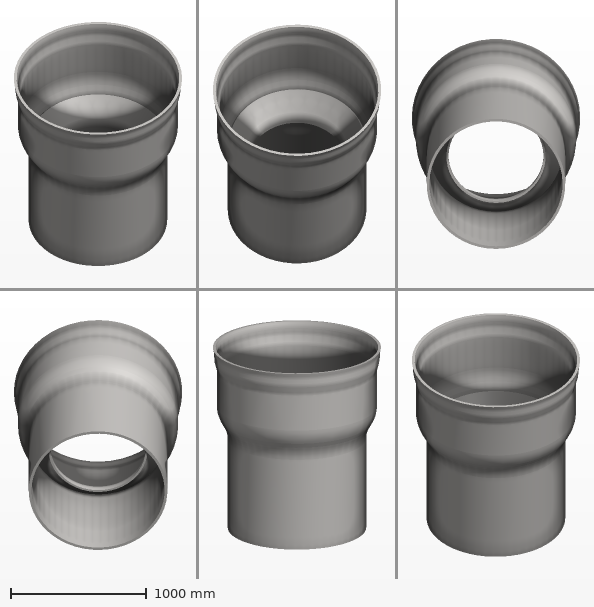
import cadquery as cq
import math

HEIGHT = 1400.0
PIPE_OUTER_RADIUS = 1020.0 / 2
PIPE_INNER_RADIUS = 980.0 / 2
HOUSING_WALL = PIPE_OUTER_RADIUS - PIPE_INNER_RADIUS

NECK_BEND_START = 697.0
NECK_CONE_START = 801.0
NECK_CONE_END = 839.0
SOCKET_START = 952.0
SOCKET_END = 1222.0
FLARE_CONE_START = 1243.0
FLARE_CONE_END = 1292.0
COLLAR_START = 1319.0
COLLAR_END = 1351.0
RIM_CONE_START = 1375.0

NECK_LEAN = math.radians(30)
FLARE_LEAN = math.radians(15)

THROAT_INNER_RADIUS = 699.0 / 2
THROAT_OUTER_RADIUS = 730.0 / 2
LINER_WALL = THROAT_OUTER_RADIUS - THROAT_INNER_RADIUS
LINER_RIM_RADIUS = 507.0
FUNNEL_LEAN = math.radians(45)
FUNNEL_BEND_RADIUS = 73.0
THROAT_LENGTH = 28.0


def advance(station, height, lean):
    """Follow a straight stretch or a tangent arc up to a new height and lean."""
    radius, start_height, start_lean = station
    mean_lean = (start_lean + lean) / 2
    return radius + (height - start_height) * math.tan(mean_lean), height, lean


def bend_middle(start, end):
    """The station halfway round the arc that joins two stations."""
    middle_lean = (start[2] + end[2]) / 2
    bend_radius = (end[1] - start[1]) / (math.sin(end[2]) - math.sin(start[2]))
    middle_height = start[1] + bend_radius * (math.sin(middle_lean) - math.sin(start[2]))
    return advance(start, middle_height, middle_lean)


def wall_point(station, depth):
    """The point at a depth below the outer surface, square to the wall."""
    radius, height, lean = station
    return radius - depth * math.cos(lean), height + depth * math.sin(lean)


def follow(profile, stations, depth):
    """Draw lines and arcs along the stations at one depth in the wall."""
    for start, end in zip(stations, stations[1:]):
        if start[2] == end[2]:
            profile = profile.lineTo(*wall_point(end, depth))
        else:
            middle = bend_middle(start, end)
            profile = profile.threePointArc(wall_point(middle, depth), wall_point(end, depth))
    return profile


def revolve_wall(stations, thickness):
    """A round shell of constant thickness whose ends are square to its wall."""
    profile = follow(cq.Workplane("XZ").moveTo(*wall_point(stations[0], 0)), stations, 0)
    profile = profile.lineTo(*wall_point(stations[-1], thickness))
    profile = follow(profile, stations[::-1], thickness)
    return profile.close().revolve(360, (0, 0, 0), (0, 1, 0))


def housing_stations():
    """Stations up the outside of the housing."""
    bends = [
        (NECK_BEND_START, 0),
        (NECK_CONE_START, NECK_LEAN),
        (NECK_CONE_END, NECK_LEAN),
        (SOCKET_START, 0),
        (SOCKET_END, 0),
        (FLARE_CONE_START, FLARE_LEAN),
        (FLARE_CONE_END, FLARE_LEAN),
        (COLLAR_START, 0),
        (COLLAR_END, 0),
        (RIM_CONE_START, FLARE_LEAN),
        (HEIGHT, FLARE_LEAN),
    ]
    stations = [(PIPE_OUTER_RADIUS, 0, 0)]
    for height, lean in bends:
        stations.append(advance(stations[-1], height, lean))
    return stations


def make_housing():
    """The shell, with its leaning upper end trimmed flat at full height."""
    shell = revolve_wall(housing_stations(), HOUSING_WALL)
    trim = cq.Workplane("XY").circle(2 * PIPE_OUTER_RADIUS).extrude(HEIGHT)
    return shell.intersect(trim).solids()


def neck_contact_height():
    """Height where the bend inside the neck has the radius of the liner rim."""
    outer_bend_radius = (NECK_CONE_START - NECK_BEND_START) / math.sin(NECK_LEAN)
    inner_bend_radius = outer_bend_radius + HOUSING_WALL
    lean = math.acos(1 - (LINER_RIM_RADIUS - PIPE_INNER_RADIUS) / inner_bend_radius)
    return NECK_BEND_START + inner_bend_radius * math.sin(lean)


def make_liner():
    """The funnel, worked down from its rim to a short straight throat."""
    rim_height = neck_contact_height()
    bend_height = FUNNEL_BEND_RADIUS * math.sin(FUNNEL_LEAN)
    bend_width = FUNNEL_BEND_RADIUS * (1 - math.cos(FUNNEL_LEAN))
    cone_width = LINER_RIM_RADIUS - THROAT_OUTER_RADIUS - bend_width
    cone_base = rim_height - cone_width / math.tan(FUNNEL_LEAN)
    throat_top = cone_base - bend_height
    stations = [(THROAT_OUTER_RADIUS, throat_top - THROAT_LENGTH, 0)]
    for height, lean in [(throat_top, 0), (cone_base, FUNNEL_LEAN), (rim_height, FUNNEL_LEAN)]:
        stations.append(advance(stations[-1], height, lean))
    return revolve_wall(stations, LINER_WALL)


housing = make_housing()
liner = make_liner()
result = cq.Compound.makeCompound([housing.val(), liner.val()])